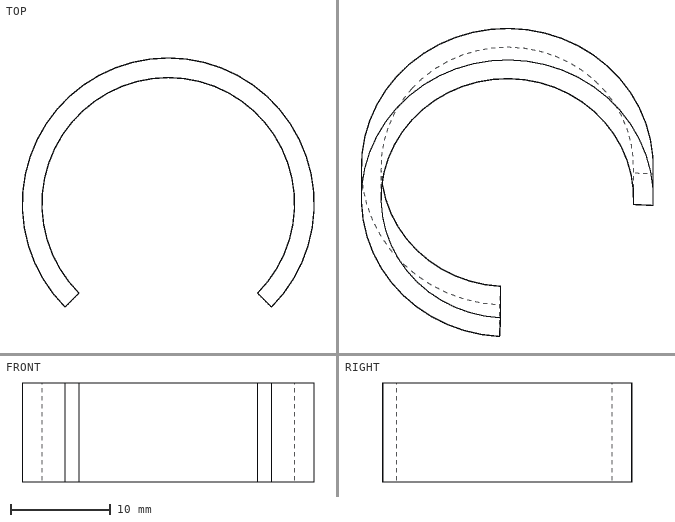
import cadquery as cq
import math

outer_radius = 14.7
wall = 2.0
height = 10.0
gap_angle = 90.0

inner_radius = outer_radius - wall


def ring_point(radius, angle):
    """Point on a circle about the ring axis, angle in degrees from +X."""
    turn = math.radians(angle)
    return (radius * math.cos(turn), radius * math.sin(turn))


right_end = -90.0 + gap_angle / 2
left_end = 270.0 - gap_angle / 2
middle = 90.0

result = (
    cq.Workplane("XY")
    .moveTo(*ring_point(outer_radius, right_end))
    .threePointArc(ring_point(outer_radius, middle), ring_point(outer_radius, left_end))
    .lineTo(*ring_point(inner_radius, left_end))
    .threePointArc(ring_point(inner_radius, middle), ring_point(inner_radius, right_end))
    .close()
    .extrude(height)
)